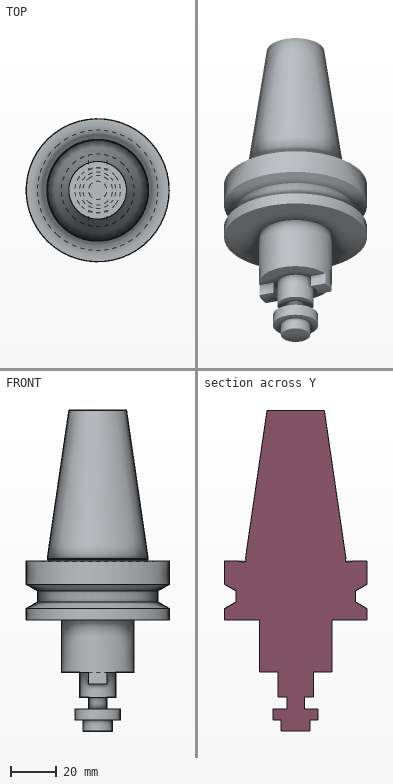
import cadquery as cq
import math


gauge_diameter = 44.45
taper_length = 65.4
taper_ratio = 7 / 24
taper_top_diameter = gauge_diameter - taper_length * taper_ratio

undercut_diameter = 43.85
undercut_top_z = -0.4
undercut_bottom_z = -0.9
undercut_flare_diameter = 44.85
recess_floor_diameter = 47.5
recess_rim_diameter = 50.0
recess_wall_angle = 13.0
recess_depth = (recess_rim_diameter - recess_floor_diameter) / 2 * math.tan(math.radians(recess_wall_angle))

flange_diameter = 62.98
flange_top_z = -1.0
recess_floor_z = flange_top_z - recess_depth
flange_bottom_z = -27.0
groove_diameter = 53.0
groove_floor_width = 4.9
groove_center_z = -16.6
groove_wall_angle = 30.0
groove_wall_height = (flange_diameter - groove_diameter) / 2 * math.tan(math.radians(groove_wall_angle))
groove_floor_top_z = groove_center_z + groove_floor_width / 2
groove_floor_bottom_z = groove_center_z - groove_floor_width / 2

body_diameter = 32.0
body_length = 23.0
pilot_diameter = 16.0
pilot_length = 11.0
neck_diameter = 8.0
neck_length = 5.0
collar_diameter = 20.0
collar_length = 5.0
tip_diameter = 13.0
tip_length = 5.0
tip_fillet = 0.5

body_bottom_z = flange_bottom_z - body_length
pilot_bottom_z = body_bottom_z - pilot_length
neck_bottom_z = pilot_bottom_z - neck_length
collar_bottom_z = neck_bottom_z - collar_length
tip_bottom_z = collar_bottom_z - tip_length

lug_width = 8.0
lug_height = 5.0
lug_inner_diameter = 19.5


def cylinder(diameter, bottom_z, height):
    return cq.Workplane("XY").workplane(offset=bottom_z).circle(diameter / 2).extrude(height)


def make_shank():
    """Taper and flange, revolved from a half profile of (diameter, z) corners."""
    corners = [
        (0, taper_length),
        (taper_top_diameter, taper_length),
        (gauge_diameter, 0),
        (undercut_diameter, undercut_top_z),
        (undercut_diameter, undercut_bottom_z),
        (undercut_flare_diameter, recess_floor_z),
        (recess_floor_diameter, recess_floor_z),
        (recess_rim_diameter, flange_top_z),
        (flange_diameter, flange_top_z),
        (flange_diameter, groove_floor_top_z + groove_wall_height),
        (groove_diameter, groove_floor_top_z),
        (groove_diameter, groove_floor_bottom_z),
        (flange_diameter, groove_floor_bottom_z - groove_wall_height),
        (flange_diameter, flange_bottom_z),
        (0, flange_bottom_z),
    ]
    profile = [(diameter / 2, z) for diameter, z in corners]
    return cq.Workplane("XZ").polyline(profile).close().revolve(360, (0, 0, 0), (0, 1, 0))


def make_nose():
    """Body, pilot, neck, collar and rounded tip, stacked downwards."""
    tip = cylinder(tip_diameter, tip_bottom_z, tip_length).faces("<Z").fillet(tip_fillet)
    return (
        cylinder(body_diameter, body_bottom_z, body_length)
        .union(cylinder(pilot_diameter, pilot_bottom_z, pilot_length))
        .union(cylinder(neck_diameter, neck_bottom_z, neck_length))
        .union(cylinder(collar_diameter, collar_bottom_z, collar_length))
        .union(tip)
    )


def make_drive_lugs():
    """Bar across the body's end face, trimmed to the body and cleared round the pilot."""
    lug_bottom_z = body_bottom_z - lug_height
    bar = (
        cq.Workplane("XY")
        .workplane(offset=lug_bottom_z)
        .rect(lug_width, body_diameter)
        .extrude(lug_height)
    )
    return (
        bar.intersect(cylinder(body_diameter, lug_bottom_z, lug_height))
        .cut(cylinder(lug_inner_diameter, lug_bottom_z, lug_height))
    )


result = make_shank().union(make_nose()).union(make_drive_lugs())